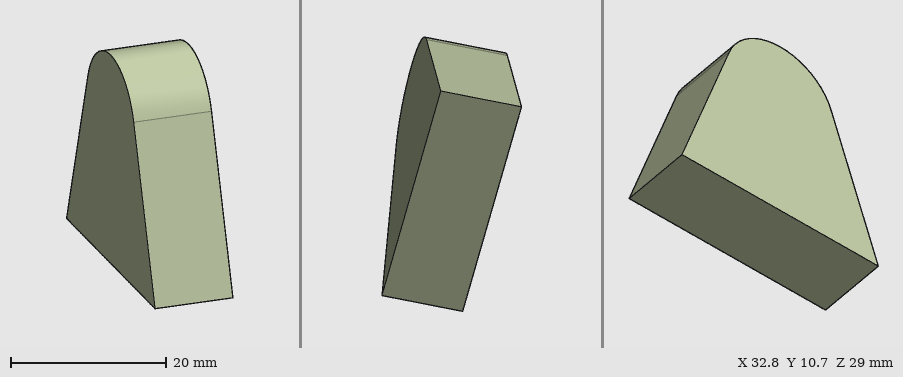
import cadquery as cq
import math

base_width = 32.8
thickness = 10.7
height = 28.97
crown_radius = 9.0

half_base = base_width / 2
crown_center_z = height - crown_radius
corner_distance = math.hypot(half_base, crown_center_z)
corner_angle = math.atan2(-crown_center_z, half_base)
tangent_angle = corner_angle + math.acos(crown_radius / corner_distance)
tangent_x = crown_radius * math.cos(tangent_angle)
tangent_z = crown_center_z + crown_radius * math.sin(tangent_angle)

result = (
    cq.Workplane("XZ")
    .moveTo(-half_base, 0)
    .lineTo(half_base, 0)
    .lineTo(tangent_x, tangent_z)
    .threePointArc((0, height), (-tangent_x, tangent_z))
    .close()
    .extrude(thickness / 2, both=True)
)